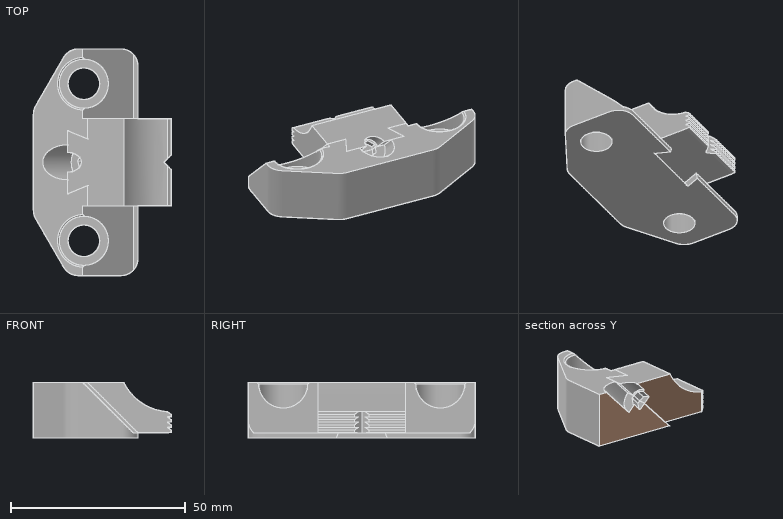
import cadquery as cq
import math

base_length = 30.0
base_width = 65.0
height = 16.0
back_flat_half_width = 15.0
back_taper_angle = 30.0
corner_radius = 5.0

ledge_height = 1.5
ramp_foot_x = 28.65
ramp_top_x = ramp_foot_x - (height - ledge_height)
pad_top_x = base_length - (height - ledge_height)
pad_half_width = 12.5

dovetail_back_x = 9.8
dovetail_back_half_width = 9.05
dovetail_neck_half_width = 6.7

mount_x = 14.5
mount_y = 22.5
mount_diameter = 9.0
mount_bore_diameter = 14.05
mount_floor_z = 7.0
mount_chamfer = 0.5

screw_diameter_in_base = 10.0
screw_diameter_in_jaw = 5.6
screw_hole_depth = 6.5
hex_corner_diameter = 4.9
hex_depth = 3.0
hex_turn = 10.0

jaw_tip_x = 39.5
jaw_top_end_x = 25.95
nose_radius = 15.0
tooth_depth = 1.1
tooth_pitch = 1.5
tooth_slope_drop = 0.8
tooth_count = 4
nose_top_z = 7.6
bottom_relief = 0.2
v_notch_depth = 2.1

margin = 13.0


def side_prism(points, half_width):
    """Extrude an XZ outline symmetrically about Y = 0."""
    return cq.Workplane("XZ").polyline(points).close().extrude(half_width, both=True)


def ramp_cutter(top_x, half_width):
    """Everything above the ledge and in front of a 45 degree ramp."""
    foot_x = top_x + height - ledge_height
    points = [
        (top_x - margin, height + margin),
        (foot_x, ledge_height),
        (base_length + margin, ledge_height),
        (base_length + margin, height + margin),
    ]
    return side_prism(points, half_width)


def dovetail_prism(bottom_z):
    """Dovetail running down the ramp from the top face to bottom_z."""
    drop = height - bottom_z
    section = [
        (dovetail_back_x, -dovetail_back_half_width),
        (pad_top_x, -dovetail_neck_half_width),
        (pad_top_x, dovetail_neck_half_width),
        (dovetail_back_x, dovetail_back_half_width),
    ]
    lower_section = [(x + drop, y) for x, y in section]
    return (
        cq.Workplane("XY", origin=(0, 0, height)).polyline(section).close()
        .workplane(offset=-drop).polyline(lower_section).close()
        .loft(ruled=True, combine=True)
    )


def screw_hole_cutter(diameter):
    """Blind hole parallel to the ramp, with a hexagonal recess in its floor."""
    along = cq.Vector(1, 0, -1).normalized()
    across = cq.Vector(-1, 0, -1).normalized()
    floor = cq.Vector(dovetail_back_x, 0, height) + along * screw_hole_depth
    floor_plane = cq.Plane(origin=floor, xDir=across, normal=along)
    bore = cq.Workplane(floor_plane).circle(diameter / 2).extrude(-screw_hole_depth - margin)
    hexagon = (
        cq.Workplane(floor_plane.rotated((0, 0, hex_turn)))
        .polygon(6, hex_corner_diameter).extrude(hex_depth)
    )
    return bore.union(hexagon)


def base_blank():
    half_width = base_width / 2
    taper_length = (half_width - back_flat_half_width) * math.tan(math.radians(back_taper_angle))
    outline = [
        (0, -back_flat_half_width),
        (taper_length, -half_width),
        (base_length, -half_width),
        (base_length, half_width),
        (taper_length, half_width),
        (0, back_flat_half_width),
    ]
    return cq.Workplane("XY").polyline(outline).close().extrude(height).edges("|Z").fillet(corner_radius)


def mounting_hole_cutter(y):
    """Through hole with a counterbore chamfered at the top face."""
    radius = mount_bore_diameter / 2
    profile = [
        (0, -margin),
        (mount_diameter / 2, -margin),
        (mount_diameter / 2, mount_floor_z),
        (radius, mount_floor_z),
        (radius, height - mount_chamfer),
        (radius + mount_chamfer, height),
        (0, height),
    ]
    cutter = cq.Workplane("XZ").polyline(profile).close().revolve(360, (0, 0, 0), (0, 1, 0))
    return cutter.translate((mount_x, y, 0))


def make_base():
    pad_band = cq.Workplane("XY").box(2 * base_width, 2 * pad_half_width, 2 * base_width)
    base = base_blank()
    base = base.cut(ramp_cutter(ramp_top_x, base_width).cut(pad_band))
    base = base.cut(ramp_cutter(pad_top_x, pad_half_width))
    base = base.cut(dovetail_prism(0))
    for side in (-1, 1):
        base = base.cut(mounting_hole_cutter(side * mount_y))
    return base.cut(screw_hole_cutter(screw_diameter_in_base))


def jaw_body():
    """Jaw outline with a concave top and a saw-toothed gripping face."""
    root_x = jaw_tip_x - tooth_depth
    nose = (
        cq.Workplane("XZ")
        .moveTo(base_length, ledge_height)
        .lineTo(pad_top_x, height)
        .lineTo(jaw_top_end_x, height)
        .radiusArc((root_x, nose_top_z), -nose_radius)
    )
    for tooth in range(tooth_count):
        tooth_top_z = nose_top_z - tooth * tooth_pitch
        nose = nose.lineTo(jaw_tip_x, tooth_top_z - tooth_slope_drop)
        if tooth < tooth_count - 1:
            next_top_z = tooth_top_z - tooth_pitch
            nose = nose.lineTo(jaw_tip_x, next_top_z).lineTo(root_x, next_top_z)
    nose = nose.lineTo(jaw_tip_x, ledge_height + bottom_relief).lineTo(root_x, ledge_height)
    return nose.close().extrude(pad_half_width, both=True)


def v_notch_cutter():
    """Vertical 90 degree notch in the middle of the gripping face."""
    points = [
        (jaw_tip_x - v_notch_depth, 0),
        (jaw_tip_x + margin, -v_notch_depth - margin),
        (jaw_tip_x + margin, v_notch_depth + margin),
    ]
    return cq.Workplane("XY").polyline(points).close().extrude(height)


def make_jaw():
    jaw = jaw_body().union(dovetail_prism(ledge_height))
    jaw = jaw.cut(v_notch_cutter())
    return jaw.cut(screw_hole_cutter(screw_diameter_in_jaw))


base = make_base()
jaw = make_jaw()
result = cq.Compound.makeCompound([base.solids().val(), jaw.solids().val()])